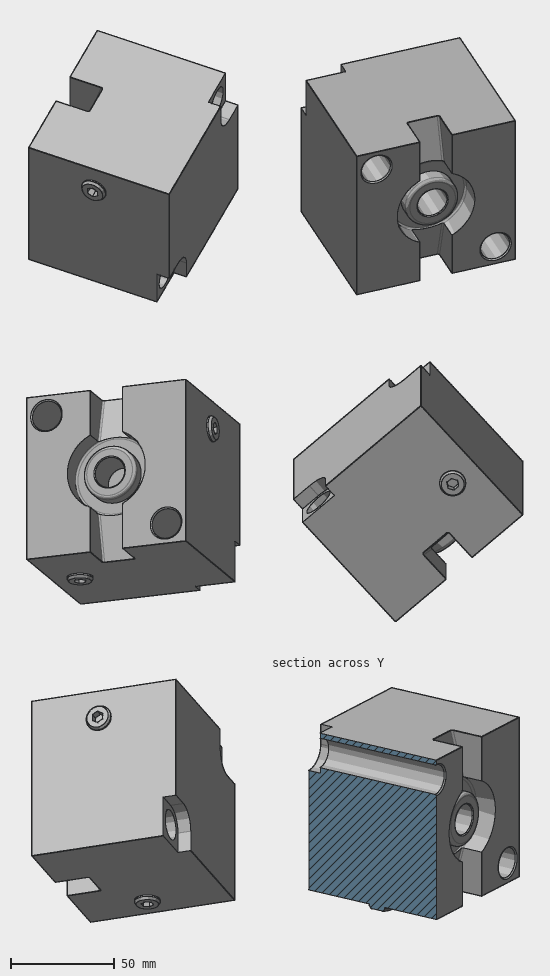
import cadquery as cq
import math

block_length = 74.5
block_side = 82.5
edge_chamfer = 0.21
overall_height = 84.6
screw_height = overall_height - block_side
half_side = block_side / 2

slot_width = 16.5
slot_end_depth = 17.5
slot_floor_slope = 15
slot_rounding = 0.85

recess_diameter = 40.3
recess_depth = 12.0
recess_rounding = 1.0
rod_diameter = 27.1
rod_setback = 4.6
rod_rounding = 1.7
rod_bore_diameter = 15.2
rod_bore_depth = 18.6
rod_bore_chamfer = 0.5

hole_edge_distance = 10.3
hole_diameter = 15.0
hole_chamfer = 0.7
notch_depth = 6.6

screw_diameter = 12.7
screw_taper_height = 1.35
screw_taper_width = 0.85
screw_x = 34.8
screw_edge_distance = 14.7
hex_across_flats = 5.25
hex_depth = 4.2


def disc_along_x(diameter, x_start, x_end):
    return cq.Workplane("YZ", origin=(x_start, 0, 0)).circle(diameter / 2).extrude(x_end - x_start)


def guide_slot():
    """Slot through the block from top to bottom, with sloped floors and rounded floor edges."""
    middle_depth = slot_end_depth - half_side * math.tan(math.radians(slot_floor_slope))
    profile = [
        (0, -half_side),
        (slot_end_depth, -half_side),
        (middle_depth, 0),
        (slot_end_depth, half_side),
        (0, half_side),
    ]
    slot = cq.Workplane("XZ").polyline(profile).close().extrude(slot_width / 2, both=True)
    return slot.edges("not (|Y or |Z or |X)").fillet(slot_rounding)


def recess():
    """Round recess with a rounded floor edge."""
    return disc_along_x(recess_diameter, 0, recess_depth).faces(">X").edges().fillet(recess_rounding)


def bore_mouth(diameter, chamfer):
    """Cone that chamfers a bore opening on X = 0."""
    radius = diameter / 2
    along_x = cq.Vector(1, 0, 0)
    cone = cq.Solid.makeCone(radius + chamfer, radius, chamfer, cq.Vector(), along_x)
    return cq.Workplane(cone)


def rod_end():
    """Round rod end with a rounded rim, as a solid to add and a chamfered blind bore to cut."""
    body = disc_along_x(rod_diameter, rod_setback, slot_end_depth)
    body = body.faces("<X").edges().fillet(rod_rounding)
    bore = disc_along_x(rod_bore_diameter, rod_setback, rod_setback + rod_bore_depth)
    mouth = bore_mouth(rod_bore_diameter, rod_bore_chamfer).translate((rod_setback, 0, 0))
    return body, bore.union(mouth)


def mounting_hole():
    """Through hole, with a round-cornered notch for the bolt, on the +Y +Z corner."""
    hole = disc_along_x(hole_diameter, 0, block_length)
    hole = hole.union(bore_mouth(hole_diameter, hole_chamfer))
    notch_side = 2 * hole_edge_distance
    notch = cq.Workplane("XY").box(notch_depth, notch_side, notch_side)
    notch = notch.edges("|X and <Y and <Z").fillet(hole_edge_distance)
    notch = notch.translate((block_length - notch_depth / 2, 0, 0))
    centre = half_side - hole_edge_distance
    return hole.union(notch).translate((0, centre, centre))


def bleed_screw():
    """Tapered screw head on the -Z face, and the hexagon socket to cut into it."""
    head = cq.Workplane("XY").circle(screw_diameter / 2).extrude(-screw_height)
    head = head.faces("<Z").edges().chamfer(screw_taper_height, screw_taper_width)
    across_corners = hex_across_flats / math.cos(math.radians(30))
    socket = cq.Workplane("XY").polygon(6, across_corners).extrude(hex_depth)
    socket = socket.rotate((0, 0, 0), (0, 0, 1), 30).translate((0, 0, -screw_height))
    screw_place = (screw_x, half_side - screw_edge_distance, -half_side)
    return head.translate(screw_place), socket.translate(screw_place)


def swap_y_and_z(shape):
    return shape.mirror("XY").rotate((0, 0, 0), (1, 0, 0), 90)


block = cq.Workplane("XY").box(block_length, block_side, block_side, centered=(False, True, True))
block = block.cut(guide_slot())

block = block.faces("<X or >X or <Y or >Y or <Z or >Z").edges().chamfer(edge_chamfer)
rod_body, rod_bore = rod_end()
result = block.cut(recess()).union(rod_body).cut(rod_bore)

corner_cut = mounting_hole()
result = result.cut(corner_cut).cut(corner_cut.rotate((0, 0, 0), (1, 0, 0), 180))

screw_head, hex_socket = bleed_screw()
result = result.union(screw_head).union(swap_y_and_z(screw_head))
result = result.cut(hex_socket).cut(swap_y_and_z(hex_socket))